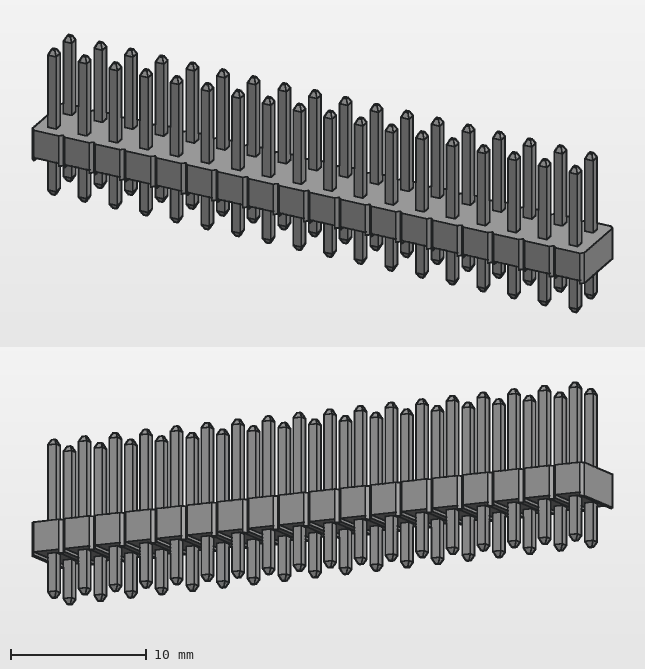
import cadquery as cq

length = 45.7
columns = 18
rows = 2
pitch = length / columns
width = rows * pitch

body_height = 2.5
body_chamfer = 0.25
groove_depth = 0.25
groove_width = pitch - 2 * body_chamfer

pin_side = 0.7
pin_above_body = 6.35
pin_below_body = 3.05
tip_height = 0.4
tip_side = 0.27


def centered(count):
    """Positions of `count` items one pitch apart, centred on zero."""
    return [(i - (count - 1) / 2) * pitch for i in range(count)]


def make_body():
    """Insulator bar with chamfered corners and a V-notch between neighbouring columns."""
    half_length = length / 2
    half_width = width / 2
    front_edge = []
    for x in centered(columns):
        cell_left = x - pitch / 2
        cell_right = x + pitch / 2
        front_edge += [
            (cell_left, body_chamfer - half_width),
            (cell_left + body_chamfer, -half_width),
            (cell_right - body_chamfer, -half_width),
        ]
    front_edge.append((half_length, body_chamfer - half_width))
    back_edge = [(x, -y) for x, y in reversed(front_edge)]
    return cq.Workplane("XY").polyline(front_edge + back_edge).close().extrude(body_height)


def make_grooves():
    """Shallow grooves across the underside, one below each column."""
    groove_centers = [(x, 0) for x in centered(columns)]
    return cq.Workplane("XY").pushPoints(groove_centers).rect(groove_width, width).extrude(groove_depth)


def make_pin():
    """Square pin with a truncated pyramid at each end; the body bottom is at Z = 0."""
    shank_bottom = tip_height - pin_below_body
    shank_top = body_height + pin_above_body - tip_height
    shank = (
        cq.Workplane("XY", origin=(0, 0, shank_bottom))
        .rect(pin_side, pin_side)
        .extrude(shank_top - shank_bottom)
    )
    for face in ("<Z", ">Z"):
        tip = (
            shank.faces(face)
            .workplane(centerOption="CenterOfMass")
            .rect(pin_side, pin_side)
            .workplane(offset=tip_height)
            .rect(tip_side, tip_side)
            .loft(combine=False)
        )
        shank = shank.union(tip)
    return shank


pin_centers = [(x, y) for x in centered(columns) for y in centered(rows)]
pin = make_pin().val()
pins = cq.Workplane("XY").pushPoints(pin_centers).eachpoint(lambda place: pin.located(place))
result = make_body().cut(make_grooves()).union(pins)